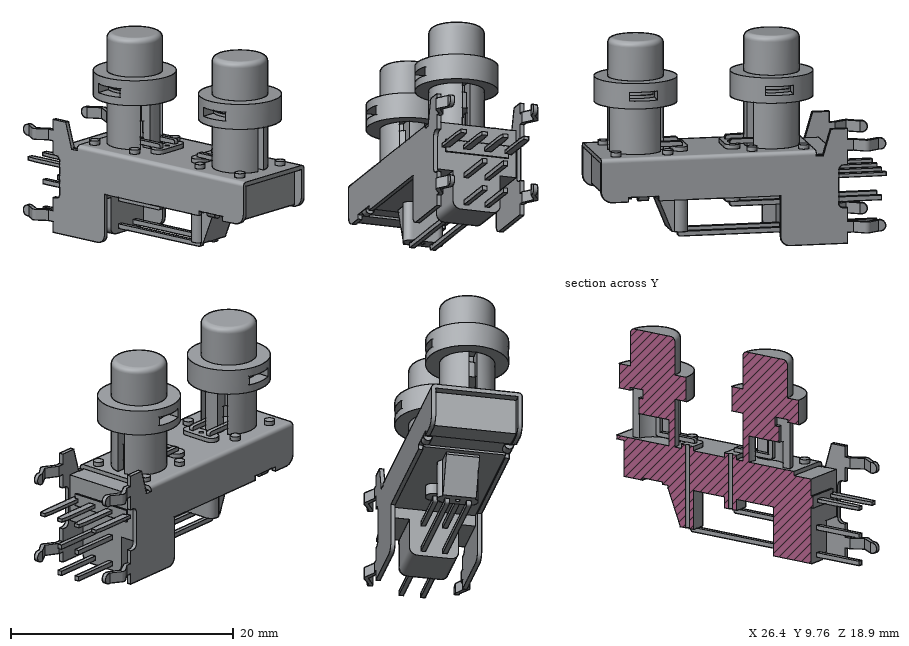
import cadquery as cq

LENGTH = 26.38
SHEET = 0.4
COVER_HALF_WIDTH = 4.2
INNER_HALF_WIDTH = COVER_HALF_WIDTH - SHEET
COVER_TOP = 8.6
SHEET_BOTTOM = COVER_TOP - SHEET
COVER_START = 6.62

PLATE_START = 3.75
TAB_TOP = 10.53
TAB_TOP_END = 5.28
TAB_FOOT = 6.0
RELIEF_FLOOR = 8.13
WINDOW_BACK = 4.56
WINDOW_BOTTOM = 3.25
WINDOW_TOP = 7.23
WINDOW_FILLET = 0.5
SKIRT_END = 9.87
SKIRT_FILLET = 0.8
PLATE_BOTTOM = 4.62
PLATE_FILLET = 1.0
NOTCH_START = 21.1
NOTCH_END = 23.9
NOTCH_TOP = 5.05

PRONG_HEIGHT = 1.0
PRONG_TIP = 0.25
PRONG_CENTRES = (1.5, 9.02)
PRONG_BEND_START = 3.22
PRONG_BEND_END = 0.9
CREST_X = 2.05
CREST_HALF_LENGTH = 0.3
CREST_OUT = 4.88
CREST_SHOULDER_OUT = 4.77

BODY_START = 4.72
BODY_END = 25.6
BODY_BOTTOM = 4.83
CLIP_GAP_START = 21.3
CLIP_GAP_END = 23.53
BLOCK_END = 8.97
BLOCK_SHOULDER = 3.77
BLOCK_BOTTOM = 0.25
BLOCK_HALF_WIDTH = 2.27
BLOCK_FILLET = 0.75
STRIP_START = 4.55
STRIP_BOTTOM = 5.5
STRIP_TOP = 6.62
STRIP_HALF_WIDTH = 3.0
BEAD_START = 22.03
BEAD_END = 22.95
BEAD_OFFSET_Y = 3.75
BEAD_RADIUS = NOTCH_TOP - PLATE_BOTTOM

PIN_HALF_PITCH = 1.0
PIN_Z = 6.05
PIN_THICKNESS = 0.32
PIN_WIDTH = 0.65
PIN_TIP_WIDTH = 0.5
PIN_TAPER = 0.98
PIN_DEPTH = 5.28
LEAD_THICKNESS = 0.42

BUTTON_X = (9.87, 22.37)
CAP_DIAMETER = 5.0
CAP_TOP = 18.9
CAP_FILLET = 0.5
COLUMN_DIAMETER = 5.0
COLLAR_DIAMETER = 7.5
COLLAR_BOTTOM = 13.03
COLLAR_TOP = 15.35
LATCH_HALF_WIDTH = 1.3
LATCH_BOTTOM = 13.75
LATCH_TOP = 14.55
DIMPLE_HALF_WIDTH = 1.15
DIMPLE_BOTTOM = 14.0
DIMPLE_DEPTH = 0.13
BORE_DIAMETER = 3.53
LAMP_DIAMETER = 3.1
LAMP_TIP_DIAMETER = 2.2
LAMP_BOTTOM = 11.0
LAMP_SHOULDER = 12.5
SLOT_TOP = 13.3
KEY_SLOT_WIDTH = 0.75
LEAD_SLOT_INNER = 0.7
LEAD_SLOT_OUTER = 1.53

STAKE_DIAMETER = 0.92
STAKE_OFFSET_X = 2.37
STAKE_OFFSET_Y = 2.77
RAISED_TOP = 9.0

GUIDE_OFFSET = 3.85
GUIDE_WIDTH = 1.37
GUIDE_LENGTH = 3.75
GUIDE_HOLE = 0.4
GUIDE_BOTTOMS = (3.8, 1.2)
LEAD_LOW_Z = (3.45, 0.9)
LEAD_HIGH_Z = 9.18
RIB_HALF_WIDTH = 1.53
RIB_TOP_X = 20.7
RIB_FOOT_X = 19.3


def block(x0, x1, y0, y1, z0, z1):
    """Box between two opposite corners."""
    return cq.Workplane("XY").box(x1 - x0, y1 - y0, z1 - z0, centered=False).translate((x0, y0, z0))


def rod(x, y, diameter, z0, z1):
    """Upright cylinder."""
    return cq.Workplane("XY", origin=(x, y, z0)).circle(diameter / 2).extrude(z1 - z0)


def profile(half_width):
    """XZ workplane whose extrusion of 2 * half_width is centred on the middle plane."""
    return cq.Workplane("XZ", origin=(0, half_width, 0))


def edge_at(x, z):
    """Selector for the crosswise edge through one corner of the side profile."""
    return cq.selectors.NearestToPointSelector((x, 0, z))


def make_side_plates():
    outline = [
        (PLATE_START, 0), (SKIRT_END, 0), (SKIRT_END, PLATE_BOTTOM),
        (NOTCH_START, PLATE_BOTTOM), (NOTCH_START, NOTCH_TOP),
        (NOTCH_END, NOTCH_TOP), (NOTCH_END, PLATE_BOTTOM), (LENGTH, PLATE_BOTTOM),
        (LENGTH, SHEET_BOTTOM), (COVER_START, SHEET_BOTTOM),
        (COVER_START, RELIEF_FLOOR), (TAB_FOOT, RELIEF_FLOOR),
        (TAB_TOP_END, TAB_TOP), (PLATE_START, TAB_TOP), (PLATE_START, WINDOW_TOP),
        (WINDOW_BACK, WINDOW_TOP), (WINDOW_BACK, WINDOW_BOTTOM), (PLATE_START, WINDOW_BOTTOM),
    ]
    plates = profile(COVER_HALF_WIDTH).polyline(outline).close().extrude(2 * COVER_HALF_WIDTH)
    for z in (WINDOW_TOP, WINDOW_BOTTOM):
        plates = plates.edges(edge_at(WINDOW_BACK, z)).fillet(WINDOW_FILLET)
    plates = plates.edges(edge_at(SKIRT_END, 0)).fillet(SKIRT_FILLET)
    plates = plates.edges(edge_at(LENGTH, PLATE_BOTTOM)).fillet(PLATE_FILLET)
    inside = block(0, LENGTH, -INNER_HALF_WIDTH, INNER_HALF_WIDTH, 0, TAB_TOP)
    return plates.cut(inside)


def make_top_sheet():
    return block(COVER_START, LENGTH, -COVER_HALF_WIDTH, COVER_HALF_WIDTH, SHEET_BOTTOM, COVER_TOP)


def make_prong(z):
    """Bowed strip on the +Y side plate with a round tip."""
    crest_start = CREST_X + CREST_HALF_LENGTH
    crest_end = CREST_X - CREST_HALF_LENGTH
    strip = (
        cq.Workplane("XY", origin=(0, 0, z - PRONG_HEIGHT / 2))
        .moveTo(PLATE_START, COVER_HALF_WIDTH)
        .lineTo(PRONG_BEND_START, COVER_HALF_WIDTH)
        .lineTo(crest_start, CREST_SHOULDER_OUT)
        .threePointArc((CREST_X, CREST_OUT), (crest_end, CREST_SHOULDER_OUT))
        .lineTo(PRONG_BEND_END, COVER_HALF_WIDTH)
        .lineTo(PRONG_TIP, COVER_HALF_WIDTH)
        .lineTo(PRONG_TIP, INNER_HALF_WIDTH)
        .lineTo(PRONG_BEND_END, INNER_HALF_WIDTH)
        .lineTo(CREST_X, CREST_OUT - SHEET)
        .lineTo(PRONG_BEND_START, INNER_HALF_WIDTH)
        .lineTo(PLATE_START, INNER_HALF_WIDTH)
        .close()
        .extrude(PRONG_HEIGHT)
    )
    round_tip = (
        cq.Workplane("XZ", origin=(PLATE_START, 0, z))
        .slot2D(2 * (PLATE_START - PRONG_TIP), PRONG_HEIGHT)
        .extrude(-CREST_OUT)
    )
    return strip.intersect(round_tip)


def make_cover():
    cover = make_side_plates().union(make_top_sheet())
    for side in (-COVER_HALF_WIDTH, COVER_HALF_WIDTH):
        middle = ((COVER_START + LENGTH) / 2, side, COVER_TOP)
        cover = cover.edges(cq.selectors.NearestToPointSelector(middle)).fillet(SHEET)
    for z in PRONG_CENTRES:
        prong = make_prong(z)
        cover = cover.union(prong).union(prong.mirror("XZ"))
    return cover


def make_body():
    body = block(BODY_START, BODY_END, -INNER_HALF_WIDTH, INNER_HALF_WIDTH, BODY_BOTTOM, SHEET_BOTTOM)
    clip_gap = block(
        CLIP_GAP_START, CLIP_GAP_END, -INNER_HALF_WIDTH, INNER_HALF_WIDTH, BODY_BOTTOM, NOTCH_TOP)
    shoulder = block(
        BODY_START, BLOCK_END, -INNER_HALF_WIDTH, INNER_HALF_WIDTH, BLOCK_SHOULDER, BODY_BOTTOM)
    foot = block(
        BODY_START, BLOCK_END, -BLOCK_HALF_WIDTH, BLOCK_HALF_WIDTH, BLOCK_BOTTOM, BLOCK_SHOULDER)
    foot = foot.edges("|X and <Z").fillet(BLOCK_FILLET)
    strip = block(
        STRIP_START, BODY_START, -STRIP_HALF_WIDTH, STRIP_HALF_WIDTH, STRIP_BOTTOM, STRIP_TOP)
    body = body.cut(clip_gap).union(shoulder).union(foot).union(strip)
    for y in (-BEAD_OFFSET_Y, BEAD_OFFSET_Y):
        bead = cq.Workplane("YZ", origin=(BEAD_START, y, NOTCH_TOP)).circle(BEAD_RADIUS)
        body = body.union(bead.extrude(BEAD_END - BEAD_START))
    return body


def make_pin(y):
    """Flat contact pin whose tip narrows across Y."""
    half, tip = PIN_WIDTH / 2, PIN_TIP_WIDTH / 2
    outline = [(0, -tip), (PIN_TAPER, -half), (PIN_DEPTH, -half),
               (PIN_DEPTH, half), (PIN_TAPER, half), (0, tip)]
    pin = cq.Workplane("XY").polyline(outline).close().extrude(PIN_THICKNESS)
    return pin.translate((0, y, PIN_Z - PIN_THICKNESS / 2))


def make_slot(x, direction, y0, y1):
    """Upright slot from the button axis to beyond the column surface."""
    end = x + direction * COLUMN_DIAMETER
    return block(min(x, end), max(x, end), y0, y1, COVER_TOP, SLOT_TOP)


def make_hollow(x, inward):
    """Bore under the lamp plus the slots that open it to both sides, around the stepped lamp."""
    lamp = rod(x, 0, LAMP_DIAMETER, LAMP_BOTTOM, LAMP_SHOULDER)
    lamp = lamp.union(rod(x, 0, LAMP_TIP_DIAMETER, LAMP_SHOULDER, SLOT_TOP))
    slots = make_slot(x, -inward, -KEY_SLOT_WIDTH / 2, KEY_SLOT_WIDTH / 2)
    slots = slots.union(make_slot(x, inward, LEAD_SLOT_INNER, LEAD_SLOT_OUTER))
    slots = slots.union(make_slot(x, inward, -LEAD_SLOT_OUTER, -LEAD_SLOT_INNER))
    slots = slots.intersect(rod(x, 0, COLUMN_DIAMETER, COVER_TOP, SLOT_TOP))
    bore = rod(x, 0, BORE_DIAMETER, COVER_TOP, LAMP_BOTTOM)
    return slots.union(bore).cut(lamp)


def make_collar(x):
    """Collar with a latch window on each Y side."""
    core_radius = COLUMN_DIAMETER / 2
    collar = rod(x, 0, COLLAR_DIAMETER, COLLAR_BOTTOM, COLLAR_TOP)
    windows = block(
        x - LATCH_HALF_WIDTH, x + LATCH_HALF_WIDTH, -COLLAR_DIAMETER, COLLAR_DIAMETER,
        LATCH_BOTTOM, LATCH_TOP)
    dimples = block(
        x - DIMPLE_HALF_WIDTH, x + DIMPLE_HALF_WIDTH, -core_radius, core_radius,
        DIMPLE_BOTTOM, LATCH_TOP)
    core = rod(x, 0, COLUMN_DIAMETER, LATCH_BOTTOM, LATCH_TOP)
    dimple_core = rod(x, 0, COLUMN_DIAMETER - 2 * DIMPLE_DEPTH, LATCH_BOTTOM, LATCH_TOP)
    return collar.cut(windows.cut(core)).cut(dimples.cut(dimple_core))


def make_button(x, inward):
    cap = rod(x, 0, CAP_DIAMETER, COLLAR_TOP, CAP_TOP).faces(">Z").edges().fillet(CAP_FILLET)
    column = rod(x, 0, COLUMN_DIAMETER, COVER_TOP, COLLAR_BOTTOM)
    button = cap.union(make_collar(x)).union(column).cut(make_hollow(x, inward))
    for dx in (-STAKE_OFFSET_X, STAKE_OFFSET_X):
        for dy in (-STAKE_OFFSET_Y, STAKE_OFFSET_Y):
            button = button.union(rod(x + dx, dy, STAKE_DIAMETER, SHEET_BOTTOM, RAISED_TOP))
    return button


def make_guide(x, bottom):
    return (
        cq.Workplane("XY", origin=(x, 0, bottom))
        .slot2D(GUIDE_LENGTH, GUIDE_WIDTH, 90)
        .extrude(RAISED_TOP - bottom)
    )


def make_rib(guide_x, bottom):
    """Sloped rib that braces the longer guide against the underside of the body."""
    outline = [(guide_x, bottom), (RIB_FOOT_X, bottom), (RIB_TOP_X, PLATE_BOTTOM),
               (RIB_TOP_X, BODY_BOTTOM), (guide_x, BODY_BOTTOM)]
    return profile(RIB_HALF_WIDTH).polyline(outline).close().extrude(2 * RIB_HALF_WIDTH)


def make_lead(button_x, guide_x, low_z, y):
    """Square wire from its tip, up through the guide, back to the button axis and up to the lamp."""
    path = cq.Workplane("XZ", origin=(0, y, 0)).polyline([
        (0, low_z), (guide_x, low_z), (guide_x, LEAD_HIGH_Z),
        (button_x, LEAD_HIGH_Z), (button_x, LAMP_BOTTOM)])
    section = cq.Workplane("YZ", origin=(0, y, low_z)).rect(LEAD_THICKNESS, LEAD_THICKNESS)
    return section.sweep(path, transition="round")


result = make_cover().union(make_body())

for half_pitches in (-3, -1, 1, 3):
    result = result.union(make_pin(half_pitches * PIN_HALF_PITCH))

for button_x, inward, guide_bottom, low_z in zip(BUTTON_X, (1, -1), GUIDE_BOTTOMS, LEAD_LOW_Z):
    guide_x = button_x + inward * GUIDE_OFFSET
    result = result.union(make_button(button_x, inward)).union(make_guide(guide_x, guide_bottom))
    if inward < 0:
        result = result.union(make_rib(guide_x, guide_bottom))
    result = result.cut(rod(guide_x, 0, GUIDE_HOLE, 0, RAISED_TOP))
    for y in (-PIN_HALF_PITCH, PIN_HALF_PITCH):
        result = result.union(make_lead(button_x, guide_x, low_z, y))